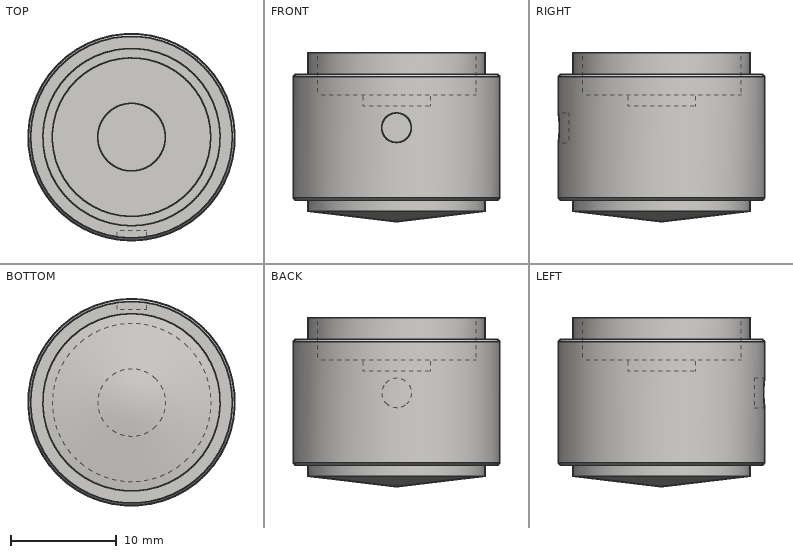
import cadquery as cq

body_diameter = 19.58
body_bottom = 2.02
body_top = 13.98
body_chamfer = 0.25

spigot_diameter = 16.78
cone_height = 1.0
total_height = 16.0

recess_diameter = 15.0
recess_depth = 4.0
bore_diameter = 6.4
bore_depth = 1.0

side_hole_diameter = 2.8
side_hole_height = 8.9
side_hole_depth = 1.0


def make_turned_body():
    """Revolve the lower cone, spigot, chamfered body and top collar about Z."""
    body_radius = body_diameter / 2
    spigot_radius = spigot_diameter / 2
    chamfer_radius = body_radius - body_chamfer
    profile = [
        (0, 0),
        (-spigot_radius, cone_height),
        (-spigot_radius, body_bottom),
        (-chamfer_radius, body_bottom),
        (-body_radius, body_bottom + body_chamfer),
        (-body_radius, body_top - body_chamfer),
        (-chamfer_radius, body_top),
        (-spigot_radius, body_top),
        (-spigot_radius, total_height),
        (0, total_height),
    ]
    return cq.Workplane("YZ").polyline(profile).close().revolve(360, (0, 0, 0), (0, 1, 0))


def make_top_recesses():
    """Wide recess with a smaller bore sunk into its floor."""
    recess_floor = total_height - recess_depth
    bore_floor = recess_floor - bore_depth
    recess = (
        cq.Workplane("XY", origin=(0, 0, recess_floor))
        .circle(recess_diameter / 2)
        .extrude(recess_depth)
    )
    bore = (
        cq.Workplane("XY", origin=(0, 0, bore_floor))
        .circle(bore_diameter / 2)
        .extrude(bore_depth)
    )
    return recess.union(bore)


def make_side_hole():
    """Flat-bottomed radial hole entering from the -Y side."""
    hole_plane = cq.Workplane("XZ", origin=(0, -body_diameter / 2, side_hole_height))
    return hole_plane.circle(side_hole_diameter / 2).extrude(-side_hole_depth)


result = make_turned_body().cut(make_top_recesses()).cut(make_side_hole())